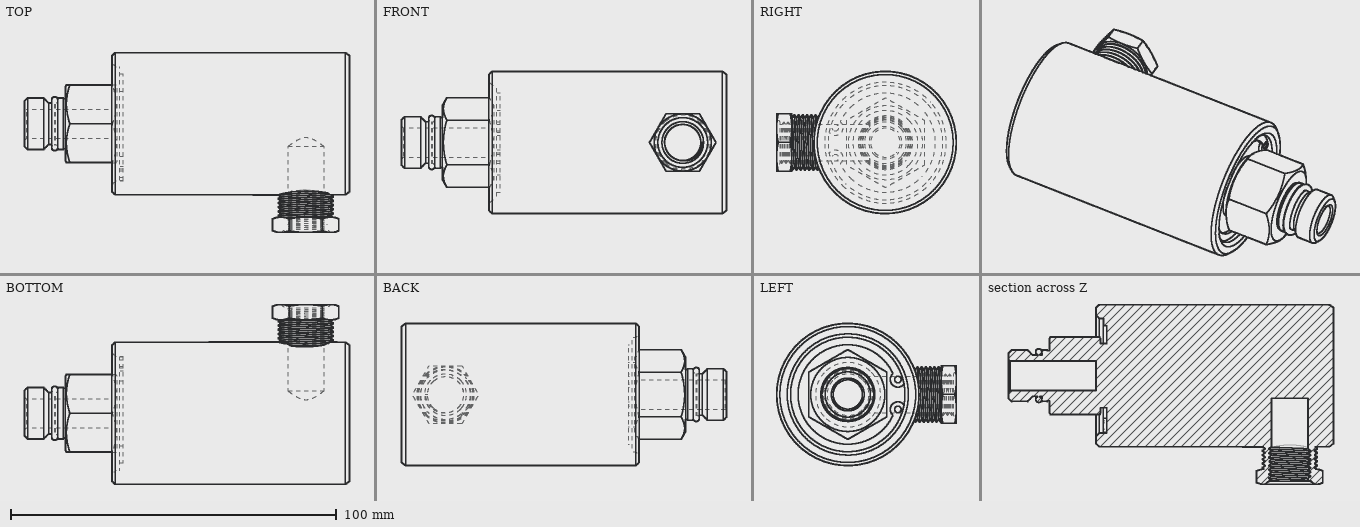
import cadquery as cq
import math


total_length = 99.8
spigot_dia = 15.9
spigot_chamfer = 1.0
spigot_land_end = 5.9
groove_dia = 12.8
groove_end = 10.3
oring_section_dia = 1.9
collar_end = 12.0
relief_dia = 15.4
spigot_bore_dia = 9.0
spigot_bore_depth = 26.8
spigot_bore_mouth_dia = 10.1

hex_start = 12.6
hex_flats = 23.8
hex_chamfer_dia = 22.8
hex_chamfer_angle = 30.0
hex_length = 15.8
shaft_neck_dia = 19.9

body_start = 26.8
body_dia = 43.7
body_front_chamfer = 1.0
body_rear_chamfer_length = 1.3
body_rear_chamfer_height = 1.0
recess_dia = 35.1
recess_mouth_dia = 37.2
retaining_ring_depth = 2.3
retaining_ring_thickness = 1.0
retaining_ring_inner_dia = 30.5
ear_offset_y = 15.4
ear_offset_z = 4.6
ear_dia = 4.7
ear_hole_dia = 2.0

port_x = 86.3
port_reach = 33.3
port_hex_flats = 17.7
port_hex_thickness = 4.7
port_hex_chamfer_dia = 17.6
port_hex_chamfer_angle = 20.0
thread_pitch = 1.3
thread_groove_width = 1.2
port_thread_dia = 17.0
port_root_dia = 15.2
port_embed_depth = 3.0
port_bore_dia = 11.1
port_bore_thread_dia = 12.8
port_bore_thread_length = 10.0
port_mouth_dia = 15.3
port_mouth_depth = 1.0
inner_shaft_dia = 13.9

OVERLAP = 0.2
THREAD_OVERLAP = 0.1
SEATING = 0.02


def x_cylinder(dia, start, end):
    return cq.Workplane("YZ").workplane(offset=start).circle(dia / 2).extrude(end - start)


def turned(points):
    """Solid of revolution about X from (x, radius) corners."""
    return cq.Workplane("XY").polyline(points).close().revolve(360, (0, 0, 0), (1, 0, 0))


def z_hexagon(flats, height, chamfer_dia, chamfer_angle):
    """Hexagon along Z with corners on X, its corners turned off conically at both ends."""
    corner_radius = flats / math.sqrt(3)
    chamfer_radius = chamfer_dia / 2
    drop = (corner_radius - chamfer_radius) * math.tan(math.radians(chamfer_angle))
    envelope = (
        cq.Workplane("XZ")
        .polyline([
            (0, 0),
            (chamfer_radius, 0),
            (corner_radius, drop),
            (corner_radius, height - drop),
            (chamfer_radius, height),
            (0, height),
        ])
        .close()
        .revolve(360, (0, 0, 0), (0, 1, 0))
    )
    return cq.Workplane("XY").polygon(6, 2 * corner_radius).extrude(height).intersect(envelope)


def z_thread_groove(surface_radius, tip_radius, length):
    """Cutter for a right-handed V groove about Z; its tip may point outward or inward."""
    rise = tip_radius - surface_radius
    sink = math.copysign(THREAD_OVERLAP, rise)
    half_width = thread_groove_width / 2 * (1 + sink / rise)
    path = cq.Wire.makeHelix(thread_pitch, length, surface_radius)
    return (
        cq.Workplane("XZ")
        .polyline([
            (surface_radius - sink, -half_width),
            (tip_radius, 0),
            (surface_radius - sink, half_width),
        ])
        .close()
        .sweep(cq.Workplane(path), isFrenet=True)
    )


def make_body():
    radius = body_dia / 2
    body = turned([
        (body_start, 0),
        (body_start, radius - body_front_chamfer),
        (body_start + body_front_chamfer, radius),
        (total_length - body_rear_chamfer_length, radius),
        (total_length, radius - body_rear_chamfer_height),
        (total_length, 0),
    ])
    ring_front = body_start + retaining_ring_depth
    recess_floor = ring_front + retaining_ring_thickness
    mouth_chamfer = (recess_mouth_dia - recess_dia) / 2
    recess = turned([
        (body_start, 0),
        (body_start, recess_mouth_dia / 2),
        (body_start + mouth_chamfer, recess_dia / 2),
        (recess_floor, recess_dia / 2),
        (recess_floor, 0),
    ])
    return body.cut(recess).union(make_retaining_ring(ring_front, recess_floor + OVERLAP))


def make_retaining_ring(front, back):
    """Internal retaining ring, open between its two eyelets."""
    ring = x_cylinder(recess_dia, front, back).cut(x_cylinder(retaining_ring_inner_dia, front, back))
    gap_height = 2 * ear_offset_z
    gap = cq.Workplane("XY").box(back - front, recess_dia / 2, gap_height, centered=(False, False, True))
    ring = ring.cut(gap.translate((front, -recess_dia / 2, 0)))
    eyelets = [(-ear_offset_y, -ear_offset_z), (-ear_offset_y, ear_offset_z)]
    plane = cq.Workplane("YZ").workplane(offset=front).pushPoints(eyelets)
    ears = plane.circle(ear_dia / 2).extrude(back - front)
    holes = plane.circle(ear_hole_dia / 2).extrude(retaining_ring_thickness)
    return ring.union(ears.intersect(x_cylinder(recess_dia, front, back))).cut(holes)


def make_shaft():
    spigot_radius = spigot_dia / 2
    groove_radius = groove_dia / 2
    spigot = turned([
        (0, 0),
        (0, spigot_radius - spigot_chamfer),
        (spigot_chamfer, spigot_radius),
        (spigot_land_end, spigot_radius),
        (spigot_land_end + spigot_radius - groove_radius, groove_radius),
        (groove_end, groove_radius),
        (groove_end, spigot_radius),
        (collar_end, spigot_radius),
        (collar_end, relief_dia / 2),
        (hex_start + OVERLAP, relief_dia / 2),
        (hex_start + OVERLAP, 0),
    ])
    oring_radius = oring_section_dia / 2
    ring_radius = groove_radius + oring_radius
    oring = (
        cq.Workplane("XY")
        .center(groove_end - oring_radius, ring_radius)
        .circle(oring_radius + SEATING)
        .revolve(360, (0, -ring_radius, 0), (1, -ring_radius, 0))
    )
    hexagon = (
        z_hexagon(hex_flats, hex_length, hex_chamfer_dia, hex_chamfer_angle)
        .rotate((0, 0, 0), (0, 1, 0), 90)
        .translate((hex_start, 0, 0))
    )
    neck_end = body_start + retaining_ring_depth + retaining_ring_thickness + OVERLAP
    neck = x_cylinder(shaft_neck_dia, hex_start + hex_length - OVERLAP, neck_end)
    return spigot.union(oring).union(hexagon).union(neck)


def make_spigot_bore():
    radius = spigot_bore_dia / 2
    mouth_radius = spigot_bore_mouth_dia / 2
    return turned([
        (0, 0),
        (0, mouth_radius),
        (mouth_radius - radius, radius),
        (spigot_bore_depth, radius),
        (spigot_bore_depth, 0),
    ])


def place_port(piece):
    """Move a piece built along +Z from the port's outer face to the port, running inward."""
    return piece.rotate((0, 0, 0), (1, 0, 0), -90).translate((port_x, -port_reach, 0))


def make_port():
    """Hexagon-headed fitting with an outer thread and a countersunk, threaded bore."""
    crest_radius = port_thread_dia / 2
    root_radius = port_root_dia / 2
    bore_radius = port_bore_dia / 2
    thread_radius = port_bore_thread_dia / 2
    mouth_radius = port_mouth_dia / 2
    inner_end = port_reach - body_dia / 2 + port_embed_depth

    stem_length = inner_end - port_hex_thickness + OVERLAP
    runout = thread_pitch / 2
    stem = cq.Workplane("XY").circle(crest_radius).extrude(stem_length)
    outer_groove = z_thread_groove(crest_radius, root_radius, stem_length + 2 * runout)
    stem = stem.cut(outer_groove.translate((0, 0, -runout)))
    hexagon = z_hexagon(port_hex_flats, port_hex_thickness, port_hex_chamfer_dia, port_hex_chamfer_angle)
    fitting = stem.translate((0, 0, inner_end - stem_length)).union(hexagon)

    bore = cq.Workplane("XY").circle(bore_radius).extrude(inner_end)
    inner_groove = z_thread_groove(bore_radius, thread_radius, port_bore_thread_length)
    mouth = (
        cq.Workplane("XZ")
        .polyline([(0, 0), (mouth_radius, 0), (thread_radius, port_mouth_depth), (0, port_mouth_depth)])
        .close()
        .revolve(360, (0, 0, 0), (0, 1, 0))
    )
    fitting = fitting.cut(bore).cut(inner_groove.translate((0, 0, thread_groove_width))).cut(mouth)
    return place_port(fitting)


def make_port_passage():
    """Round passage from the port into the body, ending on the round shaft inside."""
    passage = place_port(cq.Workplane("XY").circle(port_bore_dia / 2).extrude(port_reach))
    return passage.cut(x_cylinder(inner_shaft_dia, body_start, total_length))


result = (
    make_body()
    .union(make_shaft())
    .cut(make_spigot_bore())
    .union(make_port())
    .cut(make_port_passage())
)